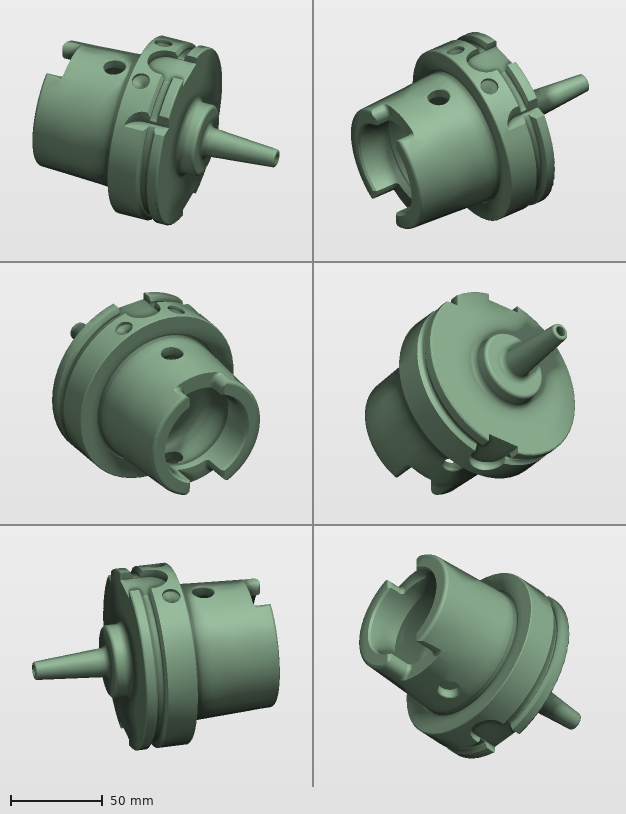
import cadquery as cq
import math

SELECT_MARGIN = 0.1
CLEARANCE = 1.0

SHANK_LENGTH = 50.0
FLANGE_WIDTH = 29.0
TIP_X = 80.0

SHANK_GAUGE_RADIUS = 75.42 / 2
TAPER_RATE = 0.05
SHANK_END_FILLET = 2.0
UNDERCUT_START = 2.2
UNDERCUT_RAMP = 0.8
UNDERCUT_WIDTH = 0.4
UNDERCUT_DEPTH = 0.15
FACE_RECESS_RADIUS = 39.2
FACE_RECESS_DEPTH = 0.8
FACE_RECESS_FILLET = 0.5

FLANGE_RADIUS = 50.0
FLANGE_CHAMFER = 0.5
FLANGE_FRONT_FILLET = 1.0
GROOVE_CENTER_X = 20.0
GROOVE_MOUTH_HALF_WIDTH = 3.4
GROOVE_HALF_WIDTH = 2.0
GROOVE_CONE_RADIUS = 47.6
GROOVE_ROOT_RADIUS = 46.0
GROOVE_ROOT_FILLET = 0.5

HUB_RADIUS = 20.0
HUB_END_X = 39.0
HUB_BASE_FILLET = 3.0
HUB_END_FILLET = 2.0
NOSE_TIP_RADIUS = 10.0 / 2
NOSE_ANGLE = 4.5
NOSE_BASE_FILLET = 3.0
NOSE_TIP_FILLET = 1.2

BORE_RADIUS = 53.0 / 2
BORE_MOUTH_CHAMFER = 0.8
BORE_MOUTH_ANGLE = 30.0
BORE_LIP_DEPTH = 19.5
CLAMP_RECESS_RADIUS = 63.0 / 2
CLAMP_SHOULDER_ANGLE = 60.0
BORE_DEPTH = 47.0
FLOOR_FILLET = 6.5
COUNTERBORE_RADIUS = 22.38 / 2
COUNTERBORE_DEPTH = 10.0

THROUGH_RADIUS = 4.76 / 2
COUNTERSINK_RADIUS = 4.0
COUNTERSINK_FLOOR_RADIUS = 3.0
TOOL_BORE_RADIUS = 6.0 / 2
TOOL_BORE_DEPTH = 36.0

DRIVE_WIDTH = 20.0
DRIVE_DEPTH_TOP = 10.0
DRIVE_DEPTH_BOTTOM = 15.0
DRIVE_FLOOR_FILLET = 2.0
DRIVE_EDGE_ROUND = 5.0
DRIVE_SHOULDER_Z = 32.0
DRIVE_ENTRY_CHAMFER = 1.5

CROSS_HOLE_X = -15.0
CROSS_HOLE_DIAMETER = 12.0
CROSS_HOLE_CHAMFER = 0.5

NOTCH_WIDTH = 20.0
NOTCH_END_X = 5.0
NOTCH_FLOOR = 44.5
CORNER_NOTCH_Y = -31.6
CORNER_NOTCH_FLOOR = 31.5

RIM_HOLE_X = 7.0
RIM_HOLE_DIAMETER = 10.0
RIM_HOLE_TILT = 20.0
RIM_HOLE_APEX_RADIUS = 44.8
DRILL_POINT_ANGLE = 118.0


def revolve_about_x(profile):
    """Close a profile drawn in the XY plane and turn it into a solid of revolution."""
    return profile.close().revolve(360, (0, 0, 0), (1, 0, 0))


def circle_at(x, radius):
    """Selector for the circular edge of the given radius that lies at x, centered on the axis."""
    reach = radius + SELECT_MARGIN
    return cq.selectors.BoxSelector(
        (x - SELECT_MARGIN, -reach, -reach),
        (x + SELECT_MARGIN, reach, reach),
        boundingbox=True,
    ) - cq.selectors.BoxSelector(
        (x - SELECT_MARGIN, -radius + SELECT_MARGIN, -radius + SELECT_MARGIN),
        (x + SELECT_MARGIN, radius - SELECT_MARGIN, radius - SELECT_MARGIN),
        boundingbox=True,
    )


def shank():
    """Tapered shank with a shallow undercut where it meets the flange."""
    root_radius = SHANK_GAUGE_RADIUS - UNDERCUT_DEPTH
    root_start_x = -UNDERCUT_START + UNDERCUT_RAMP
    end_radius = SHANK_GAUGE_RADIUS - TAPER_RATE * (SHANK_LENGTH - UNDERCUT_START)
    body = revolve_about_x(
        cq.Workplane("XY")
        .moveTo(-SHANK_LENGTH, 0)
        .lineTo(-SHANK_LENGTH, end_radius)
        .lineTo(-UNDERCUT_START, SHANK_GAUGE_RADIUS)
        .lineTo(root_start_x, root_radius)
        .lineTo(root_start_x + UNDERCUT_WIDTH, root_radius)
        .lineTo(0, SHANK_GAUGE_RADIUS)
        .lineTo(FACE_RECESS_DEPTH, SHANK_GAUGE_RADIUS)
        .lineTo(FACE_RECESS_DEPTH, 0)
    )
    body = body.faces("<X").edges().fillet(SHANK_END_FILLET)
    return drill_cross_hole(body)


def drill_cross_hole(body):
    """Hole right across the shank along Z, with both rims chamfered."""
    hole = (
        cq.Workplane("XY", origin=(CROSS_HOLE_X, 0, 0))
        .circle(CROSS_HOLE_DIAMETER / 2)
        .extrude(FLANGE_RADIUS, both=True)
    )
    rims = cq.selectors.BoxSelector(
        (CROSS_HOLE_X - CLEARANCE, -CLEARANCE, -FLANGE_RADIUS),
        (CROSS_HOLE_X + CLEARANCE, CLEARANCE, FLANGE_RADIUS),
    )
    return body.cut(hole).edges(rims).chamfer(CROSS_HOLE_CHAMFER)


def flange():
    """Rim disc with a V-groove and a shallow recess around the shank."""
    disc = (
        cq.Workplane("YZ")
        .circle(FLANGE_RADIUS)
        .extrude(FLANGE_WIDTH)
        .faces("<X")
        .edges()
        .chamfer(FLANGE_CHAMFER)
        .faces(">X")
        .edges()
        .fillet(FLANGE_FRONT_FILLET)
    )
    recess = cq.Workplane("YZ").circle(FACE_RECESS_RADIUS).extrude(FACE_RECESS_DEPTH)
    recess = recess.faces(">X").edges().fillet(FACE_RECESS_FILLET)
    return disc.cut(recess).cut(rim_groove())


def rim_groove():
    """Ring cutter: flared mouth, straight walls and a flat root with rounded corners."""
    root_half_width = GROOVE_HALF_WIDTH - GROOVE_ROOT_FILLET
    fillet_top = GROOVE_ROOT_RADIUS + GROOVE_ROOT_FILLET
    half = (
        cq.Workplane("XY")
        .moveTo(0, GROOVE_ROOT_RADIUS)
        .lineTo(root_half_width, GROOVE_ROOT_RADIUS)
        .radiusArc((GROOVE_HALF_WIDTH, fillet_top), -GROOVE_ROOT_FILLET)
        .lineTo(GROOVE_HALF_WIDTH, GROOVE_CONE_RADIUS)
        .lineTo(GROOVE_MOUTH_HALF_WIDTH, FLANGE_RADIUS)
        .lineTo(GROOVE_MOUTH_HALF_WIDTH, FLANGE_RADIUS + CLEARANCE)
        .lineTo(0, FLANGE_RADIUS + CLEARANCE)
    )
    half_ring = revolve_about_x(half)
    return half_ring.union(half_ring.mirror("YZ")).translate((GROOVE_CENTER_X, 0, 0))


def hub_and_nose():
    """Cylindrical hub and slender cone with their blends."""
    hub_base_x = FLANGE_WIDTH + HUB_BASE_FILLET
    hub_foot_radius = HUB_RADIUS + HUB_BASE_FILLET
    nose_base_radius = NOSE_TIP_RADIUS + (TIP_X - HUB_END_X) * math.tan(math.radians(NOSE_ANGLE))
    body = revolve_about_x(
        cq.Workplane("XY")
        .moveTo(FLANGE_WIDTH - CLEARANCE, 0)
        .lineTo(FLANGE_WIDTH - CLEARANCE, hub_foot_radius)
        .lineTo(FLANGE_WIDTH, hub_foot_radius)
        .radiusArc((hub_base_x, HUB_RADIUS), -HUB_BASE_FILLET)
        .lineTo(HUB_END_X, HUB_RADIUS)
        .lineTo(HUB_END_X, nose_base_radius)
        .lineTo(TIP_X, NOSE_TIP_RADIUS)
        .lineTo(TIP_X, 0)
    )
    body = body.edges(circle_at(HUB_END_X, HUB_RADIUS)).fillet(HUB_END_FILLET)
    body = body.edges(circle_at(HUB_END_X, nose_base_radius)).fillet(NOSE_BASE_FILLET)
    return body.edges(circle_at(TIP_X, NOSE_TIP_RADIUS)).fillet(NOSE_TIP_FILLET)


def clamping_bore():
    """Cutter for the bore: chamfered mouth, narrow lip, then a wider recess with a rounded floor."""
    lip_x = -SHANK_LENGTH + BORE_LIP_DEPTH
    floor_x = -SHANK_LENGTH + BORE_DEPTH
    recess_rise = CLAMP_RECESS_RADIUS - BORE_RADIUS
    mouth_end_x = -SHANK_LENGTH + BORE_MOUTH_CHAMFER / math.tan(math.radians(BORE_MOUTH_ANGLE))
    recess_x = lip_x + recess_rise / math.tan(math.radians(CLAMP_SHOULDER_ANGLE))
    return revolve_about_x(
        cq.Workplane("XY")
        .moveTo(-SHANK_LENGTH, 0)
        .lineTo(-SHANK_LENGTH, BORE_RADIUS + BORE_MOUTH_CHAMFER)
        .lineTo(mouth_end_x, BORE_RADIUS)
        .lineTo(lip_x, BORE_RADIUS)
        .lineTo(recess_x, CLAMP_RECESS_RADIUS)
        .lineTo(floor_x - FLOOR_FILLET, CLAMP_RECESS_RADIUS)
        .radiusArc((floor_x, CLAMP_RECESS_RADIUS - FLOOR_FILLET), FLOOR_FILLET)
        .lineTo(floor_x, 0)
    )


def axial_holes():
    """Cutter along the axis: counterbore, countersink, through hole and tool bore in the tip."""
    floor_x = -SHANK_LENGTH + BORE_DEPTH
    step_x = floor_x + COUNTERBORE_DEPTH
    countersink_x = step_x + COUNTERSINK_RADIUS - COUNTERSINK_FLOOR_RADIUS
    tool_stop_x = TIP_X - TOOL_BORE_DEPTH
    return revolve_about_x(
        cq.Workplane("XY")
        .moveTo(floor_x, 0)
        .lineTo(floor_x, COUNTERBORE_RADIUS)
        .lineTo(step_x, COUNTERBORE_RADIUS)
        .lineTo(step_x, COUNTERSINK_RADIUS)
        .lineTo(countersink_x, COUNTERSINK_FLOOR_RADIUS)
        .lineTo(countersink_x, THROUGH_RADIUS)
        .lineTo(tool_stop_x, THROUGH_RADIUS)
        .lineTo(tool_stop_x, TOOL_BORE_RADIUS)
        .lineTo(TIP_X, TOOL_BORE_RADIUS)
        .lineTo(TIP_X, 0)
    )


def drive_slot(depth):
    """Slot open toward +Z: straight walls that flare outward along a convex quarter round."""
    half_width = DRIVE_WIDTH / 2
    round_start_z = DRIVE_SHOULDER_Z - DRIVE_EDGE_ROUND
    flare_y = half_width + DRIVE_EDGE_ROUND
    clear_size = FLANGE_RADIUS
    floor_x = -SHANK_LENGTH + depth
    half_slot = (
        cq.Workplane("YZ", origin=(-SHANK_LENGTH, 0, 0))
        .lineTo(half_width, 0)
        .lineTo(half_width, round_start_z)
        .radiusArc((flare_y, DRIVE_SHOULDER_Z), DRIVE_EDGE_ROUND)
        .lineTo(clear_size, DRIVE_SHOULDER_Z)
        .lineTo(clear_size, clear_size)
        .lineTo(0, clear_size)
        .close()
        .extrude(depth)
    )
    wall_foot = cq.selectors.BoxSelector(
        (floor_x - SELECT_MARGIN, half_width - SELECT_MARGIN, SELECT_MARGIN),
        (floor_x + SELECT_MARGIN, clear_size - SELECT_MARGIN, clear_size - SELECT_MARGIN),
    )
    half_slot = half_slot.edges(wall_foot).fillet(DRIVE_FLOOR_FILLET)
    slot = half_slot.union(half_slot.mirror("XZ"))
    entry_half_width = half_width + DRIVE_ENTRY_CHAMFER
    entry = (
        cq.Workplane("XY", origin=(-SHANK_LENGTH, 0, 0))
        .moveTo(0, -entry_half_width)
        .lineTo(0, entry_half_width)
        .lineTo(DRIVE_ENTRY_CHAMFER, half_width)
        .lineTo(DRIVE_ENTRY_CHAMFER, -half_width)
        .close()
        .extrude(clear_size)
    )
    return slot.union(entry)


def rim_notch(center_y, floor_z):
    """Round-ended notch running out through the nose side of the flange."""
    radius = NOTCH_WIDTH / 2
    run_out_x = FLANGE_WIDTH + CLEARANCE
    end_center_x = NOTCH_END_X + radius
    return (
        cq.Workplane("XY", origin=(0, center_y, floor_z))
        .moveTo(run_out_x, -radius)
        .lineTo(end_center_x, -radius)
        .threePointArc((NOTCH_END_X, 0), (end_center_x, radius))
        .lineTo(run_out_x, radius)
        .close()
        .extrude(FLANGE_RADIUS)
    )


def rim_hole(tilt):
    """Blind drilled hole pointing at the axis, tilted away from +Z about X."""
    radius = RIM_HOLE_DIAMETER / 2
    point_length = radius / math.tan(math.radians(DRILL_POINT_ANGLE / 2))
    drill = (
        cq.Workplane("XZ")
        .moveTo(0, RIM_HOLE_APEX_RADIUS)
        .lineTo(radius, RIM_HOLE_APEX_RADIUS + point_length)
        .lineTo(radius, FLANGE_RADIUS + radius)
        .lineTo(0, FLANGE_RADIUS + radius)
        .close()
        .revolve(360, (0, 0, 0), (0, 1, 0))
    )
    return drill.rotate((0, 0, 0), (1, 0, 0), tilt).translate((RIM_HOLE_X, 0, 0))


half_turn = ((0, 0, 0), (1, 0, 0), 180)

body = flange().union(shank()).union(hub_and_nose())
body = body.cut(clamping_bore()).cut(axial_holes())
body = body.cut(drive_slot(DRIVE_DEPTH_TOP))
body = body.cut(drive_slot(DRIVE_DEPTH_BOTTOM).rotate(*half_turn))

top_notch = rim_notch(0, NOTCH_FLOOR)
body = body.cut(top_notch)
body = body.cut(top_notch.rotate(*half_turn))
body = body.cut(rim_notch(CORNER_NOTCH_Y - NOTCH_WIDTH / 2, CORNER_NOTCH_FLOOR))
for tilt in (-RIM_HOLE_TILT, RIM_HOLE_TILT):
    body = body.cut(rim_hole(tilt))

result = body